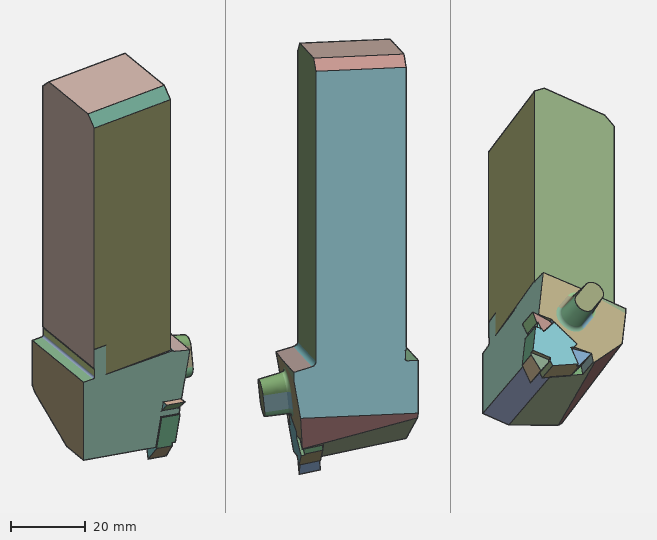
import cadquery as cq
import math


shank_width = 24.7
shank_depth = 24.7
total_height = 118.7
end_chamfer = 3.0

head_front = -3.3
head_back = 30.7
head_step_z = 35.1
head_corner_z = 33.4
ledge_angle = 15.0
ledge_fillet = 1.4
head_blank_width = 26.1
undercut_height = 3.2
undercut_depth = 0.2
undercut_runout = 0.5
undercut_fillet = 0.6
corner_cut_z = 20.7
corner_cut_angle = 54.0

seat_tilt = 10.0
seat_twist = 1.5
seat_center = (19.5, 26.6, 10.6)

bottom_clearance = 5.7
slant_corner_u = -2.3
slant_angle = 30.0
side_clearance = 5.8
side_relief_top_z = 44.5
cut_reach = 71.2

insert_thickness = 5.9
corner_count = 3
insert_edge = 6.3
edge_start = -5.8
edge_end = 3.7
tip_u = 3.3
tip_v = -10.7
notch_u = 1.0
notch_v = -5.9
rake_angle = 10.0
rake_length = 5.8

relief_corner = (-11.8, -0.6)

clamp_u = -6.3
clamp_v = 17.0
clamp_end_radius = 2.8
clamp_spacing = 5.8
clamp_lean = 25.0
clamp_height = 7.5
clamp_draft = 5.0
clamp_fillet = 1.1


def tangent(angle):
    return math.tan(math.radians(angle))


def seat_plane():
    """Local x across, local y up, local z running into the holder."""
    tilt = math.radians(seat_tilt)
    twist = math.radians(seat_twist)
    across = (math.cos(twist), -math.sin(twist), 0)
    inward = (-math.sin(twist) * math.cos(tilt), -math.cos(twist) * math.cos(tilt), math.sin(tilt))
    return cq.Plane(origin=seat_center, xDir=across, normal=inward)


def on_seat(local_shape):
    """Move a shape built in the seat frame to its place on the holder."""
    return cq.Workplane(local_shape.val().moved(seat_plane().location))


def holder_blank():
    """Side profile of shank and head, swept across the width."""
    undercut_top_z = head_step_z + undercut_height
    ledge_root_z = head_corner_z + (head_back - shank_depth) * tangent(ledge_angle)
    profile = [
        (head_front, 0),
        (head_front, head_step_z),
        (undercut_depth, head_step_z),
        (undercut_depth, undercut_top_z - undercut_runout),
        (0, undercut_top_z),
        (0, total_height),
        (shank_depth, total_height),
        (shank_depth, ledge_root_z),
        (head_back, head_corner_z),
        (head_back, 0),
    ]
    blank = cq.Workplane("YZ").polyline(profile).close().extrude(head_blank_width)
    undercut_root = cq.selectors.NearestToPointSelector((head_blank_width / 2, undercut_depth, head_step_z))
    blank = blank.edges("|X").edges(undercut_root).fillet(undercut_fillet)
    ledge_root = cq.selectors.NearestToPointSelector((head_blank_width / 2, shank_depth, ledge_root_z))
    return blank.edges("|X").edges(ledge_root).fillet(ledge_fillet)


def shank_side_cut():
    """Brings the shank above the head down to its own width."""
    return cq.Workplane("XY").box(
        cut_reach, 2 * cut_reach, total_height, centered=(False, True, False)
    ).translate((shank_width, 0, head_step_z))


def corner_cut():
    """Bevel on the lower corner of the head away from the insert."""
    profile = [(0, corner_cut_z), (corner_cut_z / tangent(corner_cut_angle), 0), (0, 0)]
    return cq.Workplane("XZ", origin=(0, -cut_reach, 0)).polyline(profile).close().extrude(-2 * cut_reach)


def back_cut():
    """Everything behind the tilted back face."""
    return on_seat(cq.Workplane("XY").rect(2 * cut_reach, 2 * cut_reach).extrude(-cut_reach))


def clearance_cut():
    """Everything below the bottom and slanted clearance faces."""
    slant_rise = cut_reach * tangent(slant_angle)
    profile = [
        (slant_corner_u, -bottom_clearance),
        (cut_reach, -bottom_clearance),
        (cut_reach, -cut_reach),
        (slant_corner_u - cut_reach, -cut_reach),
        (slant_corner_u - cut_reach, slant_rise - bottom_clearance),
    ]
    blank = cq.Workplane("XY").workplane(offset=-cut_reach).polyline(profile).close()
    return on_seat(blank.extrude(2 * cut_reach))


def side_cut():
    """Everything outside the twisted side face, up to the top of its relief."""
    block = cq.Workplane("XY").box(cut_reach, 2 * cut_reach, side_relief_top_z, centered=(False, True, False))
    block = block.translate((side_clearance, 0, 0)).rotate((0, 0, 0), (0, 0, 1), -seat_twist)
    return block.translate((seat_center[0], seat_center[1], 0))


def turned(point, index):
    """Move a point of the first insert corner to another corner."""
    u, v = point
    turn = 2 * math.pi * index / corner_count
    return u * math.cos(turn) - v * math.sin(turn), u * math.sin(turn) + v * math.cos(turn)


def insert_blank():
    """Plan of the insert, one notch, tooth and straight edge per corner."""
    corner = [
        (notch_u, notch_v),
        (tip_u, tip_v),
        (insert_edge, edge_start),
        (insert_edge, edge_end),
    ]
    outline = [turned(point, index) for index in range(corner_count) for point in corner]
    return cq.Workplane("XY").polyline(outline).close().extrude(insert_thickness)


def rake_cut():
    """Wedge that gives one tooth its rake face, deepest away from the tip."""
    profile = [
        (tip_v, 0),
        (tip_v + rake_length, 0),
        (tip_v + rake_length, rake_length * tangent(rake_angle)),
    ]
    return cq.Workplane("YZ", origin=(notch_u, 0, 0)).polyline(profile).close().extrude(insert_edge - notch_u)


def make_insert():
    """Threading insert with a rake face on every tooth."""
    body = insert_blank()
    for index in range(corner_count):
        body = body.cut(rake_cut().rotate((0, 0, 0), (0, 0, 1), index * 360 / corner_count))
    return on_seat(body)


def pocket_relief():
    """Opening beside the inner tooth, as deep as the insert."""
    inner = corner_count - 1
    profile = [turned((tip_u, tip_v), inner), relief_corner, turned((insert_edge, edge_start), inner)]
    return on_seat(cq.Workplane("XY").polyline(profile).close().extrude(insert_thickness))


def clamp_middle():
    """Middle of the boss, below its rounded upper end along the lean."""
    lean = math.radians(clamp_lean)
    half_spacing = clamp_spacing / 2
    return clamp_u + half_spacing * math.sin(lean), clamp_v - half_spacing * math.cos(lean)


def clamp_boss():
    """Tapered oblong boss standing on the back face."""
    base_radius = clamp_end_radius + clamp_height * tangent(clamp_draft)
    middle_u, middle_v = clamp_middle()
    boss = (
        cq.Workplane("XY")
        .center(middle_u, middle_v)
        .slot2D(clamp_spacing + 2 * base_radius, 2 * base_radius, 90 + clamp_lean)
        .extrude(-clamp_height, taper=clamp_draft)
    )
    return on_seat(boss)


def fillet_clamp_base(body):
    """Round the corner between the clamp boss and the back face."""
    place = seat_plane().location
    middle_u, middle_v = clamp_middle()
    search = clamp_spacing
    base_edges = cq.selectors.BoxSelector(
        (middle_u - search, middle_v - search, -clamp_fillet),
        (middle_u + search, middle_v + search, clamp_fillet),
    )
    local_body = cq.Workplane(body.val().moved(place.inverse))
    return on_seat(local_body.edges(base_edges).fillet(clamp_fillet))


def make_holder():
    """Shank and head with the clamp boss and the insert pocket."""
    body = holder_blank().cut(shank_side_cut())
    body = body.faces(">Z").edges("|Y").chamfer(end_chamfer)
    body = body.cut(corner_cut()).cut(back_cut())
    body = body.cut(clearance_cut()).cut(side_cut())
    body = fillet_clamp_base(body.union(clamp_boss()))
    return body.cut(on_seat(insert_blank())).cut(pocket_relief())


holder = make_holder()
insert = make_insert()
result = cq.Compound.makeCompound([holder.val(), insert.val()])